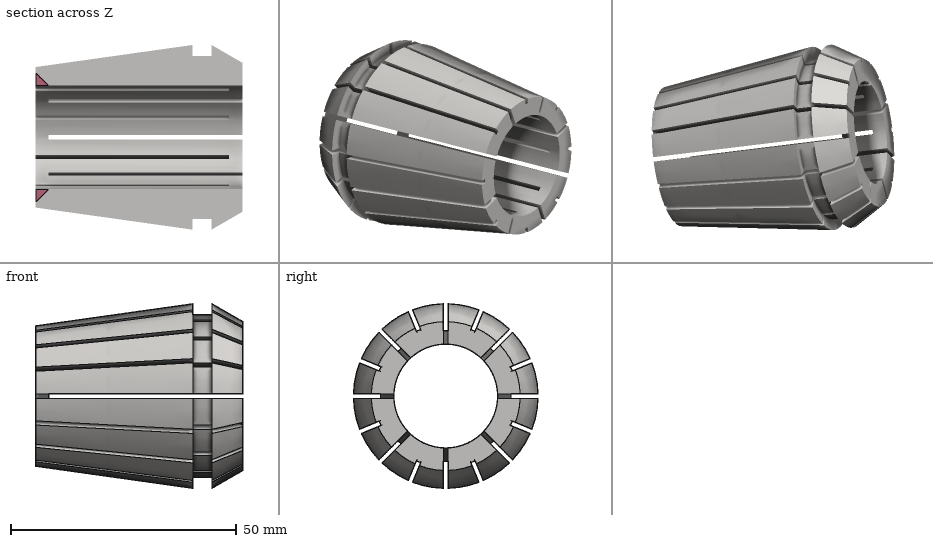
import cadquery as cq
import math

length = 46.0
max_radius = 20.5
bore_radius = 11.5

long_taper_length = 34.9
long_taper_angle = 8.0
groove_radius = 18.1
groove_end = 39.1
back_taper_angle = 30.0

slits_per_set = 8
slit_width = 1.0
slit_pitch = 360.0 / slits_per_set

saw_radius = 40.0
nose_bridge_radius = 14.5
back_bridge_radius = 15.8
nose_floor_angle = 48.5
back_floor_angle = 58.5


def taper_drop(run, angle):
    """Loss of radius along an axial run of a taper with the given half angle."""
    return run * math.tan(math.radians(angle))


def collet_blank():
    """Turned body with its bore, before slitting."""
    nose_radius = max_radius - taper_drop(long_taper_length, long_taper_angle)
    back_radius = max_radius - taper_drop(length - groove_end, back_taper_angle)
    profile = [
        (0, bore_radius),
        (0, nose_radius),
        (long_taper_length, max_radius),
        (long_taper_length, groove_radius),
        (groove_end, groove_radius),
        (groove_end, max_radius),
        (length, back_radius),
        (length, bore_radius),
    ]
    return cq.Workplane("XY").polyline(profile).close().revolve(360, (0, 0, 0), (1, 0, 0))


def saw_disc(end_face, inward, bridge_radius, floor_angle):
    """Saw disc leaving a floor of the given height and slope at an end face.

    inward is the X direction from that face into the body: +1 or -1.
    """
    slope = math.radians(floor_angle)
    centre_x = end_face + inward * saw_radius * math.sin(slope)
    centre_y = bridge_radius + saw_radius * math.cos(slope)
    disc = cq.Workplane("XY").center(centre_x, centre_y).circle(saw_radius)
    return disc.extrude(slit_width / 2, both=True)


def cut_around_axis(body, cutter, first_angle):
    """Cut one full set of evenly spaced slits."""
    for index in range(slits_per_set):
        angle = first_angle + index * slit_pitch
        body = body.cut(cutter.rotate((0, 0, 0), (1, 0, 0), angle))
    return body


result = collet_blank()

nose_stopped_saw = saw_disc(0, 1, nose_bridge_radius, nose_floor_angle)
result = cut_around_axis(result, nose_stopped_saw, 0)

back_stopped_saw = saw_disc(length, -1, back_bridge_radius, back_floor_angle)
result = cut_around_axis(result, back_stopped_saw, slit_pitch / 2)